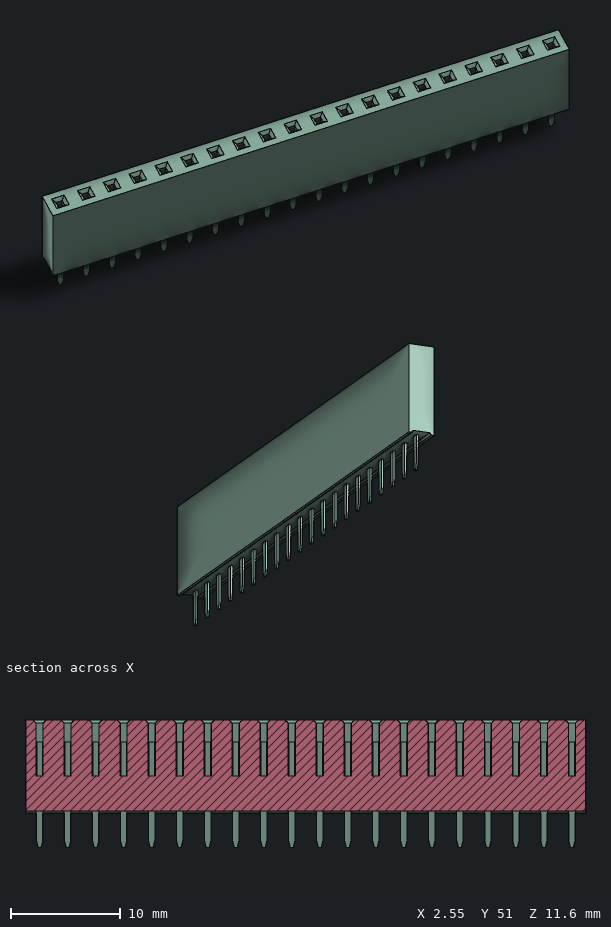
import cadquery as cq

pin_count = 20
pitch = 2.55
housing_width = 2.55
housing_length = pin_count * pitch
total_height = 11.6
housing_height = 8.5

channel_mouth_width = 1.95
channel_roof_width = 1.65
channel_depth = 0.2

socket_mouth = 1.2
socket_bore = 0.6
lead_in_depth = 0.3
socket_depth = 5.1

contact_thickness = 0.2
blade_width = 0.5
blade_height = 3.05
tail_width = 0.6
tip_width = 0.3
tip_length = 0.6
embed_depth = 0.5

tail_end = housing_height - total_height
socket_floor = housing_height - socket_depth
first_contact_y = -(housing_length - pitch) / 2
contact_points = [(0, first_contact_y + i * pitch) for i in range(pin_count)]


def make_housing():
    return cq.Workplane("XY").box(
        housing_width, housing_length, housing_height, centered=(True, True, False)
    )


def make_channel():
    profile = [
        (-channel_mouth_width / 2, 0),
        (channel_mouth_width / 2, 0),
        (channel_roof_width / 2, channel_depth),
        (-channel_roof_width / 2, channel_depth),
    ]
    return cq.Workplane("XZ").polyline(profile).close().extrude(housing_length / 2, both=True)


def make_socket():
    lead_in = (
        cq.Workplane("XY", origin=(0, 0, housing_height))
        .rect(socket_mouth, socket_mouth)
        .workplane(offset=-lead_in_depth)
        .rect(socket_bore, socket_bore)
        .loft(ruled=True)
    )
    bore = (
        cq.Workplane("XY", origin=(0, 0, socket_floor))
        .rect(socket_bore, socket_bore)
        .extrude(socket_depth)
    )
    return lead_in.union(bore)


def make_blade():
    """Upright blade rooted in the housing below the socket floor."""
    return (
        cq.Workplane("XY", origin=(0, 0, socket_floor - embed_depth))
        .rect(contact_thickness, blade_width)
        .extrude(embed_depth + blade_height)
    )


def make_tail():
    """Solder tail rooted in the housing above the channel roof."""
    root = channel_depth + embed_depth
    shoulder = tail_end + tip_length
    profile = [
        (-tail_width / 2, root),
        (-tail_width / 2, shoulder),
        (-tip_width / 2, tail_end),
        (tip_width / 2, tail_end),
        (tail_width / 2, shoulder),
        (tail_width / 2, root),
    ]
    return cq.Workplane("YZ").polyline(profile).close().extrude(contact_thickness / 2, both=True)


def at_contacts(feature):
    """Copies of a feature at every contact position."""
    shape = feature.val()
    return cq.Workplane("XY").pushPoints(contact_points).eachpoint(lambda place: shape.moved(place))


result = (
    make_housing()
    .cut(make_channel())
    .cut(at_contacts(make_socket()))
    .union(at_contacts(make_blade()))
    .union(at_contacts(make_tail()))
)